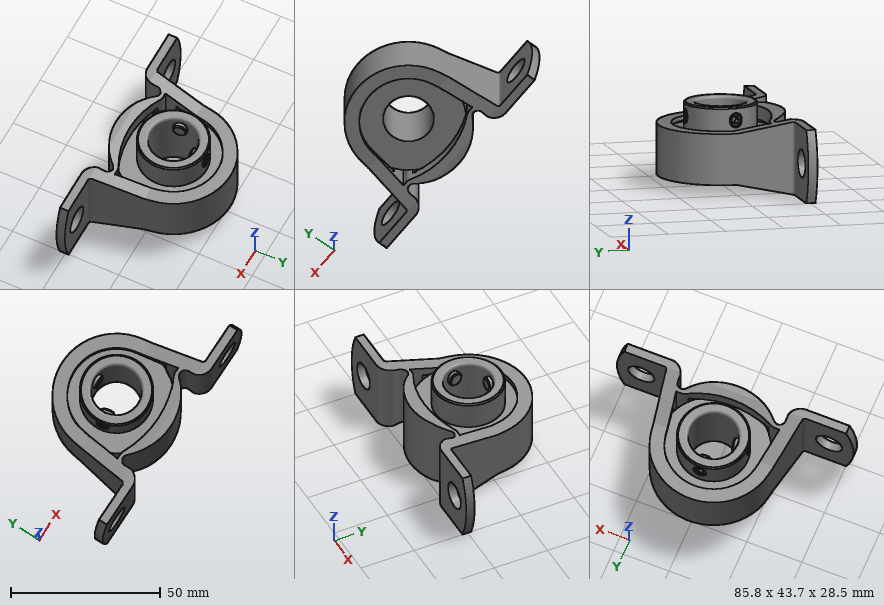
import cadquery as cq
import math


bracket_height = 25.0
band_height = 17.5
band_radius = 21.5
band_thickness = 5.0
leg_angle = math.radians(9)
foot_face_y = -22.23
foot_thickness = 3.2
foot_half_length = 42.89
foot_end_radius = 30.0
foot_hole_diameter = 9.5
foot_hole_x = 34.0
leg_inner_x = 19.5
foot_bend_radius = 5.0
foot_bend_x = 24.4
leg_root_radius = 1.0
front_wall_thickness = 1.9
front_wall_inner_radius = 35.0
neck_radius = 2.05
neck_back_y = -12.5
neck_back_radius = 3.0
pocket_width = 14.4

insert_diameter = 39.5
insert_face_diameter = 38.6
insert_width = 12.0
collar_diameter = 24.7
bore_diameter = 17.0
collar_top_z = 28.5
collar_chamfer = 0.5
bore_rounding = 1.0

screw_angles = (90.0, 190.0)
screw_diameter = 5.0
screw_core_diameter = 4.13
screw_length = 5.0
screw_tip_radius = 6.7
screw_drop = 4.5
socket_flats = 2.5
socket_depth = 2.5

mid_z = bracket_height / 2
opening_radius = band_radius - band_thickness
foot_back_y = foot_face_y + foot_thickness
front_wall_radius = insert_diameter / 2 + front_wall_thickness
insert_bottom_z = mid_z - insert_width / 2
screw_z = collar_top_z - screw_drop
screw_head_radius = screw_tip_radius + screw_length
screw_chamfer = (screw_diameter - screw_core_diameter) / 2


def leg_x(radius, y):
    """X at a given Y on the leg line tangent to a circle about the bearing axis."""
    return radius / math.cos(leg_angle) - y * math.tan(leg_angle)


def tangent_point(radius):
    """Point where the right leg line leaves the circle."""
    return radius * math.cos(leg_angle), radius * math.sin(leg_angle)


def arch(radius):
    """Start an outline with the arc over the bearing, from left leg to right leg."""
    x, y = tangent_point(radius)
    return cq.Workplane("XY").moveTo(-x, y).threePointArc((0, radius), (x, y))


def round_pair(body, x, y, radius):
    """Round the two vertical edges at (x, y) and (-x, y)."""
    reach = 0.05
    for side in (-1, 1):
        box = cq.selectors.BoxSelector(
            (side * x - reach, y - reach, -reach),
            (side * x + reach, y + reach, bracket_height + reach),
        )
        body = body.edges("|Z").edges(box).fillet(radius)
    return body


def bracket_outer():
    """Band, legs, feet and bulging front wall, all at full height."""
    leg_root_x = leg_x(band_radius, foot_back_y)
    bend_offset = foot_bend_x - leg_inner_x
    bend_center_y = foot_face_y + foot_bend_radius
    bend_end_y = bend_center_y - math.sqrt(foot_bend_radius**2 - bend_offset**2)
    bend_mid_x = foot_bend_x - foot_bend_radius * math.sin(math.pi / 4)
    bend_mid_y = bend_center_y - foot_bend_radius * math.cos(math.pi / 4)

    neck_x = leg_inner_x - neck_radius
    center_distance = front_wall_radius + neck_radius
    neck_y = -math.sqrt(center_distance**2 - neck_x**2)
    neck_top = neck_y + neck_radius
    wall_end_x = neck_x * front_wall_radius / center_distance
    wall_end_y = neck_y * front_wall_radius / center_distance

    body = (
        arch(band_radius)
        .lineTo(leg_root_x, foot_back_y)
        .lineTo(foot_half_length, foot_back_y)
        .lineTo(foot_half_length, foot_face_y)
        .lineTo(foot_bend_x, foot_face_y)
        .threePointArc((bend_mid_x, bend_mid_y), (leg_inner_x, bend_end_y))
        .lineTo(leg_inner_x, neck_y)
        .threePointArc((neck_x, neck_top), (wall_end_x, wall_end_y))
        .threePointArc((0, -front_wall_radius), (-wall_end_x, wall_end_y))
        .threePointArc((-neck_x, neck_top), (-leg_inner_x, neck_y))
        .lineTo(-leg_inner_x, bend_end_y)
        .threePointArc((-bend_mid_x, bend_mid_y), (-foot_bend_x, foot_face_y))
        .lineTo(-foot_half_length, foot_face_y)
        .lineTo(-foot_half_length, foot_back_y)
        .lineTo(-leg_root_x, foot_back_y)
        .close()
        .extrude(bracket_height)
    )
    return round_pair(body, leg_root_x, foot_back_y, leg_root_radius)


def bracket_opening():
    """Arched window around the bearing, closed in front by a shallow arc."""
    leg_end_x = leg_x(opening_radius, neck_back_y)
    arc_center_y = front_wall_inner_radius - opening_radius
    arc_end_x = math.sqrt(front_wall_inner_radius**2 - (arc_center_y - neck_back_y) ** 2)
    opening = (
        arch(opening_radius)
        .lineTo(leg_end_x, neck_back_y)
        .lineTo(arc_end_x, neck_back_y)
        .threePointArc((0, -opening_radius), (-arc_end_x, neck_back_y))
        .lineTo(-leg_end_x, neck_back_y)
        .close()
        .extrude(bracket_height)
    )
    return round_pair(opening, arc_end_x, neck_back_y, neck_back_radius)


def height_envelope():
    """Side profile: low around the bearing, widening from its axis to the foot."""
    low = mid_z - band_height / 2
    high = mid_z + band_height / 2
    return (
        cq.Workplane("YZ")
        .polyline([
            (band_radius, low),
            (0, low),
            (foot_back_y, 0),
            (foot_face_y, 0),
            (foot_face_y, bracket_height),
            (foot_back_y, bracket_height),
            (0, high),
            (band_radius, high),
        ])
        .close()
        .extrude(foot_half_length, both=True)
    )


def foot_envelope():
    """Front outline of the bracket, with both foot ends rounded."""
    depth = band_radius - foot_face_y
    sagitta = foot_end_radius - math.sqrt(foot_end_radius**2 - mid_z**2)
    corner_x = foot_half_length - sagitta
    return (
        cq.Workplane("XZ", origin=(0, band_radius, 0))
        .moveTo(-corner_x, 0)
        .lineTo(corner_x, 0)
        .threePointArc((foot_half_length, mid_z), (corner_x, bracket_height))
        .lineTo(-corner_x, bracket_height)
        .threePointArc((-foot_half_length, mid_z), (-corner_x, 0))
        .close()
        .extrude(depth)
    )


def foot_holes():
    return (
        cq.Workplane("XZ", origin=(0, foot_back_y, mid_z))
        .pushPoints([(-foot_hole_x, 0), (foot_hole_x, 0)])
        .circle(foot_hole_diameter / 2)
        .extrude(foot_thickness)
    )


def seat_pocket():
    """Round pocket that grips the widest part of the insert, with room above and below it."""
    return (
        cq.Workplane("XY", origin=(0, 0, mid_z))
        .circle(insert_diameter / 2)
        .extrude(pocket_width / 2, both=True)
    )


def insert_ring():
    """Disc with a crowned rim, the outer part of the insert."""
    top_z = insert_bottom_z + insert_width
    face_radius = insert_face_diameter / 2
    return (
        cq.Workplane("XZ")
        .moveTo(0, insert_bottom_z)
        .lineTo(face_radius, insert_bottom_z)
        .threePointArc((insert_diameter / 2, mid_z), (face_radius, top_z))
        .lineTo(0, top_z)
        .close()
        .revolve(360, (0, 0, 0), (0, 1, 0))
    )


def make_bracket():
    body = bracket_outer().cut(bracket_opening())
    body = body.intersect(height_envelope()).intersect(foot_envelope())
    return body.cut(foot_holes()).cut(seat_pocket())


def radial_plane(angle, distance):
    """Workplane facing outward at a distance from the bearing axis, local Y along Z."""
    turn = math.radians(angle)
    outward = (math.cos(turn), math.sin(turn), 0)
    across = (-math.sin(turn), math.cos(turn), 0)
    origin = (distance * outward[0], distance * outward[1], screw_z)
    return cq.Workplane(cq.Plane(origin=origin, xDir=across, normal=outward))


def screw_recess(angle):
    """Countersunk mouth and short core hole above the screw head."""
    collar_radius = collar_diameter / 2
    core = (
        radial_plane(angle, screw_head_radius)
        .circle(screw_core_diameter / 2)
        .extrude(collar_radius - screw_head_radius)
    )
    mouth = (
        radial_plane(angle, collar_radius)
        .circle(screw_diameter / 2)
        .workplane(offset=-screw_chamfer)
        .circle(screw_core_diameter / 2)
        .loft()
    )
    return core.union(mouth)


def screw_socket(angle):
    """Hexagon socket with flats facing up and down."""
    corner_diameter = socket_flats / math.cos(math.pi / 6)
    return radial_plane(angle, screw_head_radius).polygon(6, corner_diameter).extrude(-socket_depth)


def screw_point(angle):
    """Chamfered screw end standing out into the bore."""
    return (
        radial_plane(angle, screw_tip_radius)
        .circle(screw_diameter / 2)
        .extrude(screw_length / 2)
        .faces(cq.selectors.NearestToPointSelector((0, 0, screw_z)))
        .chamfer(screw_chamfer)
    )


def make_insert():
    collar = (
        cq.Workplane("XY", origin=(0, 0, insert_bottom_z))
        .circle(collar_diameter / 2)
        .extrude(collar_top_z - insert_bottom_z)
        .faces(">Z")
        .chamfer(collar_chamfer)
    )
    bore = (
        cq.Workplane("XY", origin=(0, 0, insert_bottom_z))
        .circle(bore_diameter / 2)
        .extrude(collar_top_z - insert_bottom_z)
    )
    body = insert_ring().union(collar).cut(bore)
    body = body.faces(">Z").edges(cq.selectors.RadiusNthSelector(0)).fillet(bore_rounding)
    for angle in screw_angles:
        body = body.union(screw_point(angle))
        body = body.cut(screw_recess(angle)).cut(screw_socket(angle))
    return body


bracket = make_bracket()
insert = make_insert()

result = cq.Compound.makeCompound([bracket.solids().val(), insert.solids().val()])